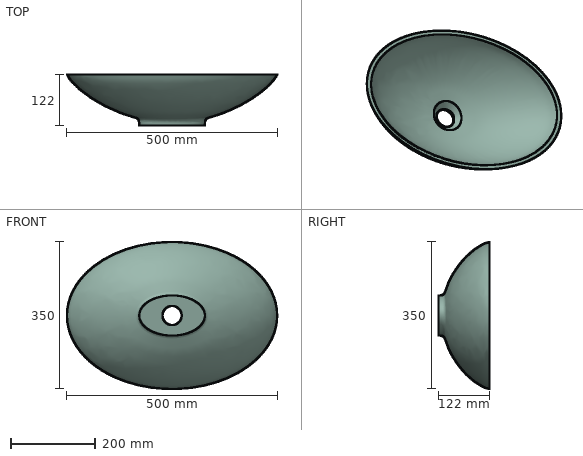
import cadquery as cq

RIM_HALF_X = 250.0
RIM_HALF_Z = 175.0
TOTAL_DEPTH = 122.0
BOWL_DEPTH = 115.0
WALL = 10.0

SHOULDER_HALF_X = 235.0
SHOULDER_HALF_Z = 170.0
SHOULDER_DEPTH = 35.0
BELLY_HALF_X = 130.0
BELLY_HALF_Z = 101.0

SECTION_COUNT = 9
LAST_STATION = 0.96

FOOT_HALF_X = 78.0
FOOT_HALF_Z = 47.7
FOOT_FLARE = 2.2
FOOT_TOP_DEPTH = 95.0
FOOT_FILLET = 10.0

DRAIN_DIAMETER = 45.0
DRAIN_STRAIGHT_LENGTH = 6.0
DRAIN_FLARE_HEIGHT = 30.0


def bezier(start, first, second, end, station):
    """Value of a cubic Bezier curve at a station from 0 to 1."""
    rest = 1 - station
    return (
        start * rest**3
        + 3 * first * rest**2 * station
        + 3 * second * rest * station**2
        + end * station**3
    )


def ellipse_loft(sections):
    """Solid through ellipses given as (depth, half X, half Z), rim side first."""
    loft = cq.Workplane("XZ")
    previous_depth = 0.0
    for depth, half_x, half_z in sections:
        loft = loft.workplane(offset=depth - previous_depth).ellipse(half_x, half_z)
        previous_depth = depth
    return loft.loft(combine=True)


def bowl_body():
    """Solid bounded by the rim plane and the outer surface of the bowl."""
    sections = []
    for index in range(SECTION_COUNT):
        station = LAST_STATION * index / (SECTION_COUNT - 1)
        depth = bezier(0, SHOULDER_DEPTH, BOWL_DEPTH, BOWL_DEPTH, station)
        half_x = bezier(RIM_HALF_X, SHOULDER_HALF_X, BELLY_HALF_X, 0, station)
        half_z = bezier(RIM_HALF_Z, SHOULDER_HALF_Z, BELLY_HALF_Z, 0, station)
        sections.append((depth, half_x, half_z))
    return ellipse_loft(sections)


def basin_space(bowl):
    """Hollow of the bowl, left inside a wall of even thickness."""
    wall = bowl.faces(">Y").shell(-WALL)
    return bowl.cut(wall)


def foot_body():
    """Flared elliptical foot whose upper end is buried in the bowl."""
    return ellipse_loft(
        [
            (FOOT_TOP_DEPTH, FOOT_HALF_X + FOOT_FLARE, FOOT_HALF_Z + FOOT_FLARE),
            (TOTAL_DEPTH, FOOT_HALF_X, FOOT_HALF_Z),
        ]
    )


def fillet_foot_joint(body):
    """Round the inside corner where the foot meets the bowl."""
    reach = FOOT_HALF_X + FOOT_FLARE
    joint_zone = cq.selectors.BoxSelector(
        (-reach, -BOWL_DEPTH, -reach),
        (reach, -FOOT_TOP_DEPTH, reach),
        boundingbox=True,
    )
    return body.edges(joint_zone).fillet(FOOT_FILLET)


def drain_hole():
    """Round drain through the middle of the foot, with a cone that ends inside the basin."""
    radius = DRAIN_DIAMETER / 2
    flare_start = DRAIN_STRAIGHT_LENGTH - TOTAL_DEPTH
    flare_end = flare_start + DRAIN_FLARE_HEIGHT
    half_profile = (
        cq.Workplane("XY")
        .moveTo(0, -TOTAL_DEPTH)
        .lineTo(radius, -TOTAL_DEPTH)
        .lineTo(radius, flare_start)
        .lineTo(radius + DRAIN_FLARE_HEIGHT, flare_end)
        .lineTo(0, flare_end)
        .close()
    )
    return half_profile.revolve(360, (0, 0, 0), (0, 1, 0))


bowl = bowl_body()
outside = fillet_foot_joint(bowl.union(foot_body()))
result = outside.cut(basin_space(bowl)).cut(drain_hole())